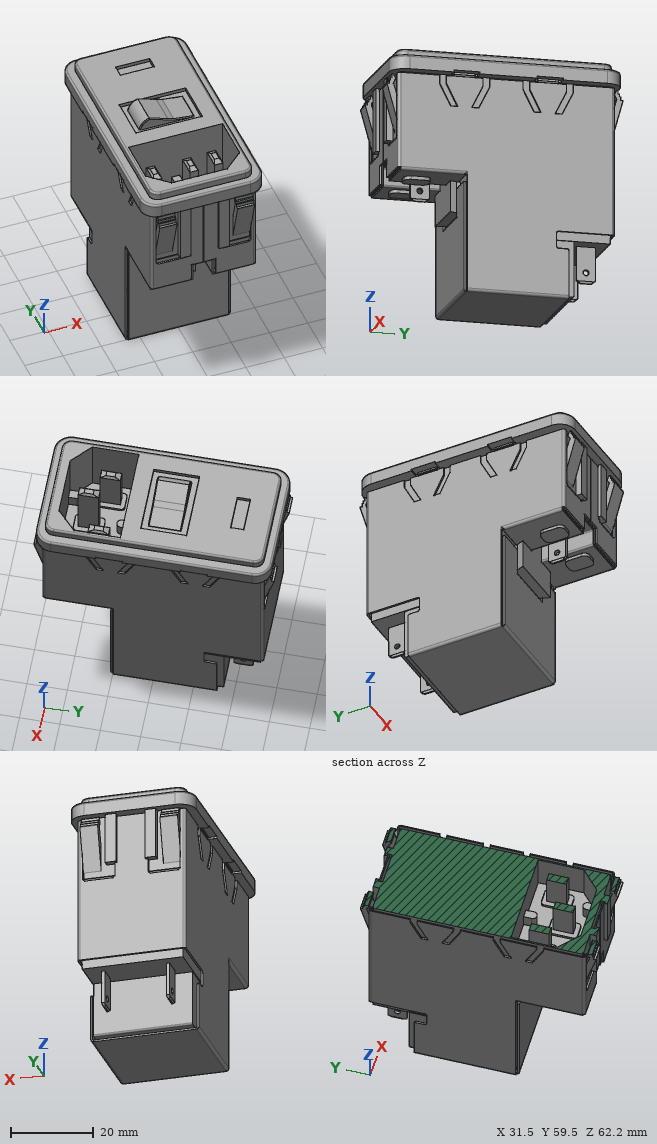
import cadquery as cq

FLANGE_X, FLANGE_Y, FLANGE_HEIGHT = 31.5, 58.25, 3.6
FLANGE_RADIUS = 4.2
PLATE_X, PLATE_Y, PLATE_TOP = 26.65, 54.15, 5.65
PLATE_RADIUS = 2.3
RIM_FILLET = 0.5

SHEET = 0.465
BEND_INNER = 0.25
BEND_OUTER = BEND_INNER + SHEET
SHELL_HALF_X = 13.75
SHELL_REAR_Y = 27.4
SHELL_FRONT_Y = -SHELL_REAR_Y
SHELL_TOP = -0.45
SHELF_Z = -25.0
LOWER_FRONT_Y = -10.6
SHELL_BOTTOM = -54.5
FRONT_SEAM = 0.25
LOWER_PLATE_TOP = -26.7
LOWER_PLATE_HALF_X = SHELL_HALF_X - BEND_OUTER
REAR_EDGE_Z = -37.7
RELIEF_Y, RELIEF_Z, RELIEF_RADIUS = 12.65, -42.0, 0.55
BASE_REAR_Y = 15.8

CHANNEL_HALF_X, CHANNEL_TOP = 2.5, -20.35
CHANNEL_MOUTH_RADIUS = 0.45
NOTCH_HALF_X, NOTCH_TOP = 3.25, -19.6

TONGUE_Y = 10.5
TONGUE_SLOT_WIDTH = 1.75
TONGUE_TOP_HALF, TONGUE_BOTTOM_HALF = 4.6, 1.8
TONGUE_KNEE_Z, TONGUE_BOTTOM_Z = -2.5, -8.0
TAB_WIDTH, TAB_POCKET_WIDTH, TAB_TOP = 5.2, 6.6, 0.5
TAB_NECK_INSET = 0.1

CORE_GAP = 0.5
CORE_HALF_X = SHELL_HALF_X - SHEET - CORE_GAP
CORE_REAR_Y = SHELL_REAR_Y - SHEET - CORE_GAP
CORE_FRONT_Y = -CORE_REAR_Y
CORE_SHELF_Z = SHELF_Z + SHEET + CORE_GAP
CORE_LOWER_FRONT_Y = LOWER_FRONT_Y + SHEET + CORE_GAP
CORE_STEP_Z = -39.8
STEM_HALF_X, STEM_REAR_Y = 12.6, 17.35
STEM_BOTTOM = -53.85
STEM_FILLET = 0.45

BLOCK_HALF_X, BLOCK_FRONT_Y, BLOCK_BOTTOM = 7.1, -12.4, -32.85
WINDOW_HALF_X, WINDOW_BOTTOM = 6.4, -34.05

CLIP_INNER_X, CLIP_OUTER_X = 7.9, 12.4
RIB_INNER_X, RIB_OUTER_X = 3.7, 6.4
CLIP_HOLE_INNER_X = 4.25
CLIP_HOLE_CHAMFER = 0.55
RIB_REACH = 0.9
CLIP_PAD = 0.25
FRONT_RIB_BOTTOM, REAR_RIB_BOTTOM = -15.9, -12.8
CLIP_PAD_BOTTOM = FRONT_RIB_BOTTOM
CLIP_HOLE_BOTTOM = -16.75
CLIP_ROOT_Z, CLIP_BACK_ROOT_Z = -15.1, -8.7
CLIP_TEETH = [
    (-29.75, -3.3), (-29.75, -3.1), (-29.2, -3.05), (-29.2, -2.25),
    (-28.9, -2.2), (-28.9, -1.55), (-28.5, -1.5), (-28.5, -0.6),
]
CLIP_BACK = [(-28.2, -0.6), (-27.6, -1.8), (-28.2, -2.9)]

BLADE_WIDTH, BLADE_THICKNESS = 4.8, 0.8
BLADE_CORNER, BLADE_BEVEL = 0.8, 0.55
BLADE_TIP_FLAT, BLADE_TIP_WIDTH = 0.3, 2.8
BLADE_HOLE = 1.45
EARTH_BLADE_Y, EARTH_BLADE_BOTTOM, EARTH_HOLE_Z = -18.25, -28.9, -26.3
REAR_BLADE_X, REAR_BLADE_Y = 8.2, 21.5
REAR_BLADE_BOTTOM, REAR_HOLE_Z = -49.0, -46.25
BOSS_X, BOSS_Y = 6.4, -20.8
BOSS_SIZE_X, BOSS_SIZE_Y, BOSS_RADIUS, BOSS_BOTTOM = 4.55, 6.6, 1.5, -25.9

SOCKET_HALF_X, SOCKET_REAR_Y, SOCKET_FRONT_Y = 12.25, -8.35, -24.45
SOCKET_CORNER_X, SOCKET_CORNER_Y = 7.3, -19.85
SOCKET_DEPTH = 16.2
KEY_WIDTH, KEY_LENGTH, KEY_X, KEY_HEIGHT = 2.1, 3.1, 6.2, 3.1
PIN_SPACING, LINE_PIN_Y, EARTH_PIN_Y = 7.95, -14.45, -18.35
PIN_X, PIN_Y, PIN_BEVEL = 2.2, 5.05, 0.6
LINE_PIN_TOP, EARTH_PIN_TOP = 1.55, 4.85
PIN_FLAT_X, PIN_FLAT_Y = 1.25, 2.25
PIN_PAD_X, PIN_PAD_Y, PIN_PAD_RADIUS, PIN_PAD_HEIGHT = 4.65, 7.4, 0.9, 0.6

INDICATOR_X, INDICATOR_Y, INDICATOR_CENTRE_Y, INDICATOR_DEPTH = 8.9, 3.25, 19.1, 0.95
SWITCH_X, SWITCH_Y, SWITCH_CENTRE_Y, SWITCH_DEPTH = 17.35, 11.3, 1.7, 0.95
ROCKER_LEFT, ROCKER_WIDTH = -7.15, 8.2
ROCKER_NOSE, ROCKER_PEAK = (-6.15, 6.7), (-4.55, 7.7)
ROCKER_MIDDLE_LEFT, ROCKER_MIDDLE_RIGHT, ROCKER_END = (0.3, 6.1), (1.85, 5.55), (7.15, 4.9)
ROCKER_EDGE = 0.25


def block(x0, x1, y0, y1, z0, z1):
    """Axis-aligned box between two corners."""
    return cq.Workplane("XY").box(x1 - x0, y1 - y0, z1 - z0, centered=False).translate((x0, y0, z0))


def rounded_block(size_x, size_y, radius, z0, z1, x=0, y=0):
    """Upright block with rounded vertical edges, centred on (x, y)."""
    body = block(x - size_x / 2, x + size_x / 2, y - size_y / 2, y + size_y / 2, z0, z1)
    return body.edges("|Z").fillet(radius)


def along_x(points, x0, x1):
    """Outline of (y, z) points extruded from x0 to x1."""
    return cq.Workplane("YZ").polyline(points).close().extrude(x1 - x0).translate((x0, 0, 0))


def both_sides(body):
    """The body and its mirror image across the X = 0 plane."""
    return body.union(body.mirror("YZ"))


def clip_hole(wall_y):
    """Opening for one clip and rib through the front or rear shell wall, at negative X."""
    opening = block(
        -CLIP_OUTER_X, -CLIP_HOLE_INNER_X, wall_y - BEND_OUTER, wall_y + BEND_OUTER,
        CLIP_HOLE_BOTTOM, SHELL_TOP,
    )
    return opening.edges("|Y and <Z").chamfer(CLIP_HOLE_CHAMFER)


def boss(x):
    """Rounded terminal boss reaching down through the shelf."""
    return rounded_block(BOSS_SIZE_X, BOSS_SIZE_Y, BOSS_RADIUS, BOSS_BOTTOM, CORE_SHELF_Z, x, BOSS_Y)


def blade(x, y, top, bottom, hole_z):
    """Flat terminal blade with clipped corners, a bevelled tip and a cross hole."""
    half_width, half_thickness = BLADE_WIDTH / 2, BLADE_THICKNESS / 2
    flat = along_x(
        [
            (-half_width, top), (half_width, top), (half_width, bottom + BLADE_CORNER),
            (BLADE_TIP_WIDTH / 2, bottom), (-BLADE_TIP_WIDTH / 2, bottom),
            (-half_width, bottom + BLADE_CORNER),
        ],
        -half_thickness, half_thickness,
    )
    bevel = (
        cq.Workplane("XZ")
        .polyline([
            (-half_thickness, top), (half_thickness, top), (half_thickness, bottom + BLADE_BEVEL),
            (BLADE_TIP_FLAT / 2, bottom), (-BLADE_TIP_FLAT / 2, bottom),
            (-half_thickness, bottom + BLADE_BEVEL),
        ])
        .close()
        .extrude(half_width, both=True)
    )
    hole = cq.Workplane("YZ").center(0, hole_z).circle(BLADE_HOLE / 2).extrude(BLADE_THICKNESS, both=True)
    return flat.intersect(bevel).cut(hole).translate((x, y, 0))


def shell_solid(inset, radius):
    """Stepped envelope of the shell, moved inwards by the inset, with its bends rounded."""
    half_x = SHELL_HALF_X - inset
    rear_y = SHELL_REAR_Y - inset
    upper = block(-half_x, half_x, SHELL_FRONT_Y + inset, rear_y, SHELF_Z + inset, SHELL_TOP)
    upper = upper.edges("|Z or <Z").fillet(radius)
    lower = block(-half_x, half_x, LOWER_FRONT_Y + inset, rear_y, SHELL_BOTTOM + inset, SHELL_TOP)
    lower = lower.edges("|Z or <Z").fillet(radius)
    return upper.union(lower)


def shell_channel():
    """Sheet channel folded up from the shelf around the earth blade."""
    front_y = SHELL_FRONT_Y + BEND_OUTER
    end_y = LOWER_FRONT_Y + SHEET
    half_x = CHANNEL_HALF_X + SHEET
    channel = block(-half_x, half_x, front_y, end_y, SHELF_Z, CHANNEL_TOP + SHEET)
    return channel.edges("|Y and >Z").fillet(BEND_OUTER)


def channel_space(front_y):
    """Space inside the channel, from front_y back to the lower front plate."""
    space = block(-CHANNEL_HALF_X, CHANNEL_HALF_X, front_y, LOWER_FRONT_Y, SHELF_Z, CHANNEL_TOP)
    return space.edges("|Y and >Z").fillet(BEND_INNER)


def tongue_slot(side):
    """Slanted slot along one edge of a spring tongue; side is +1 or -1."""
    outline = [
        (TONGUE_TOP_HALF, SHELL_TOP),
        (TONGUE_TOP_HALF, TONGUE_KNEE_Z),
        (TONGUE_BOTTOM_HALF, TONGUE_BOTTOM_Z),
        (TONGUE_BOTTOM_HALF + TONGUE_SLOT_WIDTH, TONGUE_BOTTOM_Z),
        (TONGUE_TOP_HALF + TONGUE_SLOT_WIDTH, TONGUE_KNEE_Z),
        (TONGUE_TOP_HALF + TONGUE_SLOT_WIDTH, SHELL_TOP),
    ]
    return along_x([(side * y, z) for y, z in outline], -SHELL_HALF_X, -SHELL_HALF_X + SHEET)


def tab(y):
    """Tab on top of a spring tongue, with a thinner neck below the flange, at negative X."""
    inner_x = -SHELL_HALF_X + SHEET
    y0, y1 = y - TAB_WIDTH / 2, y + TAB_WIDTH / 2
    neck = block(-SHELL_HALF_X + TAB_NECK_INSET, inner_x, y0, y1, SHELL_TOP, 0)
    return neck.union(block(-SHELL_HALF_X, inner_x, y0, y1, 0, TAB_TOP))


def make_shell():
    shell = shell_solid(0, BEND_OUTER).cut(shell_solid(SHEET, BEND_INNER))

    shell = shell.cut(block(
        -SHELL_HALF_X, SHELL_HALF_X, SHELL_FRONT_Y, SHELL_FRONT_Y + BEND_OUTER, SHELF_Z, SHELF_Z + BEND_OUTER,
    ))
    shell = shell.cut(both_sides(block(
        LOWER_PLATE_HALF_X, SHELL_HALF_X, LOWER_FRONT_Y, LOWER_FRONT_Y + BEND_OUTER, SHELL_BOTTOM, SHELF_Z,
    )))
    shell = shell.cut(block(
        -LOWER_PLATE_HALF_X, LOWER_PLATE_HALF_X,
        LOWER_FRONT_Y, LOWER_FRONT_Y + SHEET, LOWER_PLATE_TOP, SHELF_Z,
    ))

    flap_back_y = SHELL_FRONT_Y + BEND_OUTER
    shell = shell.cut(block(-FRONT_SEAM / 2, FRONT_SEAM / 2, SHELL_FRONT_Y, flap_back_y, SHELF_Z, SHELL_TOP))
    shell = shell.cut(block(-NOTCH_HALF_X, NOTCH_HALF_X, SHELL_FRONT_Y, flap_back_y, SHELF_Z, NOTCH_TOP))
    shell = shell.union(shell_channel())
    shell = shell.cut(channel_space(SHELL_FRONT_Y))
    for x in (-CHANNEL_HALF_X, CHANNEL_HALF_X):
        mouth = cq.NearestToPointSelector((x, (SHELL_FRONT_Y + BLOCK_FRONT_Y) / 2, SHELF_Z))
        shell = shell.edges("|Y").edges(mouth).fillet(CHANNEL_MOUTH_RADIUS)

    far_y, far_z = SHELL_REAR_Y + SHEET, SHELL_BOTTOM - SHEET
    opening = along_x(
        [
            (far_y, REAR_EDGE_Z), (RELIEF_Y, REAR_EDGE_Z), (RELIEF_Y, RELIEF_Z),
            (BASE_REAR_Y, RELIEF_Z), (BASE_REAR_Y, far_z), (far_y, far_z),
        ],
        -SHELL_HALF_X, SHELL_HALF_X,
    )
    for y, z in [(RELIEF_Y, REAR_EDGE_Z), (RELIEF_Y, RELIEF_Z), (BASE_REAR_Y, RELIEF_Z)]:
        opening = opening.edges(cq.NearestToPointSelector((0, y, z))).fillet(RELIEF_RADIUS)
    shell = shell.cut(opening)

    shell = shell.cut(block(
        -WINDOW_HALF_X, WINDOW_HALF_X, LOWER_FRONT_Y, LOWER_FRONT_Y + SHEET, WINDOW_BOTTOM, LOWER_PLATE_TOP,
    ))

    for wall_y in (SHELL_FRONT_Y, SHELL_REAR_Y):
        shell = shell.cut(both_sides(clip_hole(wall_y)))
    for centre_y in (-TONGUE_Y, TONGUE_Y):
        for side in (-1, 1):
            shell = shell.cut(both_sides(tongue_slot(side).translate((0, centre_y, 0))))
        shell = shell.union(both_sides(tab(centre_y)))

    for x in (-BOSS_X, BOSS_X):
        shell = shell.cut(boss(x))
    return shell.cut(earth_blade())


def make_flange():
    flange = rounded_block(FLANGE_X, FLANGE_Y, FLANGE_RADIUS, 0, FLANGE_HEIGHT)
    flange = flange.faces(">Z").edges().fillet(RIM_FILLET)
    plate = rounded_block(PLATE_X, PLATE_Y, PLATE_RADIUS, 0, PLATE_TOP)
    plate = plate.faces(">Z").edges().fillet(RIM_FILLET)
    flange = flange.union(plate)
    for y in (-TONGUE_Y, TONGUE_Y):
        pocket = block(
            -FLANGE_X / 2, -SHELL_HALF_X + SHEET,
            y - TAB_POCKET_WIDTH / 2, y + TAB_POCKET_WIDTH / 2, 0, TAB_TOP,
        )
        flange = flange.cut(both_sides(pocket))
    return flange


def make_core():
    upper = block(-CORE_HALF_X, CORE_HALF_X, CORE_FRONT_Y, CORE_REAR_Y, CORE_SHELF_Z, 0)
    middle = block(-CORE_HALF_X, CORE_HALF_X, CORE_LOWER_FRONT_Y, CORE_REAR_Y, CORE_STEP_Z, 0)
    stem = block(-STEM_HALF_X, STEM_HALF_X, CORE_LOWER_FRONT_Y, STEM_REAR_Y, STEM_BOTTOM, CORE_STEP_Z)
    stem = stem.edges("|X and <Z and >Y").fillet(STEM_FILLET)
    channel_half_x = CHANNEL_HALF_X + SHEET + CORE_GAP
    channel = block(
        -channel_half_x, channel_half_x, CORE_FRONT_Y, CORE_LOWER_FRONT_Y,
        CORE_SHELF_Z, CHANNEL_TOP + SHEET + CORE_GAP,
    )
    return upper.union(middle).union(stem).cut(channel)


def make_block():
    """Dovetail block proud of the lower front plate, rooted in the core and filling the channel end."""
    dovetail = [
        (-WINDOW_HALF_X, CORE_LOWER_FRONT_Y), (-WINDOW_HALF_X, LOWER_FRONT_Y), (-BLOCK_HALF_X, BLOCK_FRONT_Y),
        (BLOCK_HALF_X, BLOCK_FRONT_Y), (WINDOW_HALF_X, LOWER_FRONT_Y), (WINDOW_HALF_X, CORE_LOWER_FRONT_Y),
    ]
    body = cq.Workplane("XY").workplane(offset=BLOCK_BOTTOM).polyline(dovetail).close()
    body = body.extrude(SHELF_Z - BLOCK_BOTTOM)
    return body.union(channel_space(BLOCK_FRONT_Y))


def clip_and_rib(rib_bottom):
    """Snap clip, its pad and the guide rib for the front wall at negative X."""
    clip = along_x(
        [
            (CORE_FRONT_Y, CLIP_ROOT_Z),
            *CLIP_TEETH,
            *CLIP_BACK,
            (CORE_FRONT_Y, CLIP_BACK_ROOT_Z),
        ],
        -CLIP_OUTER_X, -CLIP_INNER_X,
    )
    pad = block(
        -CLIP_OUTER_X, -CLIP_HOLE_INNER_X, CORE_FRONT_Y - CLIP_PAD, CORE_FRONT_Y, CLIP_PAD_BOTTOM, 0,
    )
    rib_front_y = SHELL_FRONT_Y - RIB_REACH
    rib = block(-RIB_OUTER_X, -RIB_INNER_X, rib_front_y, SHELL_FRONT_Y, rib_bottom, 0)
    rib_root = block(-RIB_OUTER_X, -CLIP_HOLE_INNER_X, SHELL_FRONT_Y, CORE_FRONT_Y, rib_bottom, 0)
    return clip.union(pad).union(rib).union(rib_root)


def earth_blade():
    return blade(0, EARTH_BLADE_Y, CHANNEL_TOP + SHEET + CORE_GAP, EARTH_BLADE_BOTTOM, EARTH_HOLE_Z)


def socket_cut():
    outline = [
        (-SOCKET_HALF_X, SOCKET_REAR_Y), (SOCKET_HALF_X, SOCKET_REAR_Y),
        (SOCKET_HALF_X, SOCKET_CORNER_Y), (SOCKET_CORNER_X, SOCKET_FRONT_Y),
        (-SOCKET_CORNER_X, SOCKET_FRONT_Y), (-SOCKET_HALF_X, SOCKET_CORNER_Y),
    ]
    return cq.Workplane("XY").workplane(offset=PLATE_TOP).polyline(outline).close().extrude(-SOCKET_DEPTH)


def key(x, wall_y, inwards):
    """Round-nosed rib on a socket wall; inwards is the Y direction it points in."""
    floor = PLATE_TOP - SOCKET_DEPTH
    nose_y = wall_y + inwards * (KEY_LENGTH - KEY_WIDTH / 2)
    bar = block(
        x - KEY_WIDTH / 2, x + KEY_WIDTH / 2,
        min(wall_y, nose_y), max(wall_y, nose_y), floor, floor + KEY_HEIGHT,
    )
    nose = cq.Workplane("XY").workplane(offset=floor).center(x, nose_y).circle(KEY_WIDTH / 2)
    nose = nose.extrude(KEY_HEIGHT)
    return bar.union(nose)


def pin(x, y, top):
    """Contact pin with a tapered tip, on a rounded pad."""
    floor = PLATE_TOP - SOCKET_DEPTH
    pad = rounded_block(PIN_PAD_X, PIN_PAD_Y, PIN_PAD_RADIUS, floor, floor + PIN_PAD_HEIGHT, x, y)
    shank = cq.Workplane("XY").workplane(offset=floor).center(x, y).rect(PIN_X, PIN_Y)
    shank = shank.extrude(top - PIN_BEVEL - floor)
    tip = (
        cq.Workplane("XY").workplane(offset=top - PIN_BEVEL).center(x, y).rect(PIN_X, PIN_Y)
        .workplane(offset=PIN_BEVEL).rect(PIN_FLAT_X, PIN_FLAT_Y).loft()
    )
    return pad.union(shank).union(tip)


def make_rocker():
    """Tilted rocker with a round nose and softened side edges, standing on the recess floor."""
    floor = PLATE_TOP - SWITCH_DEPTH
    rocker = (
        cq.Workplane("XZ")
        .moveTo(ROCKER_LEFT, floor)
        .threePointArc(ROCKER_NOSE, ROCKER_PEAK)
        .lineTo(*ROCKER_MIDDLE_LEFT)
        .lineTo(*ROCKER_MIDDLE_RIGHT)
        .lineTo(*ROCKER_END)
        .lineTo(ROCKER_END[0], floor)
        .close()
        .extrude(ROCKER_WIDTH / 2, both=True)
    )
    rocker = rocker.faces("<Y or >Y").edges("not <Z").edges("not >X").chamfer(ROCKER_EDGE)
    return rocker.translate((0, SWITCH_CENTRE_Y, 0))


def make_housing():
    housing = make_flange().union(make_core()).union(make_block())
    for x in (-BOSS_X, BOSS_X):
        housing = housing.union(boss(x))
    for x in (-REAR_BLADE_X, REAR_BLADE_X):
        housing = housing.union(blade(x, REAR_BLADE_Y, CORE_STEP_Z, REAR_BLADE_BOTTOM, REAR_HOLE_Z))
    housing = housing.union(earth_blade())
    housing = housing.union(both_sides(clip_and_rib(FRONT_RIB_BOTTOM)))
    rear_clip = clip_and_rib(REAR_RIB_BOTTOM).mirror("XZ")
    housing = housing.union(both_sides(rear_clip))

    housing = housing.cut(socket_cut())
    housing = housing.union(key(0, SOCKET_REAR_Y, -1))
    for x in (-KEY_X, KEY_X):
        housing = housing.union(key(x, SOCKET_FRONT_Y, 1))
    for x in (-PIN_SPACING, PIN_SPACING):
        housing = housing.union(pin(x, LINE_PIN_Y, LINE_PIN_TOP))
    housing = housing.union(pin(0, EARTH_PIN_Y, EARTH_PIN_TOP))

    for size_x, size_y, y, depth in [
        (INDICATOR_X, INDICATOR_Y, INDICATOR_CENTRE_Y, INDICATOR_DEPTH),
        (SWITCH_X, SWITCH_Y, SWITCH_CENTRE_Y, SWITCH_DEPTH),
    ]:
        housing = housing.cut(block(
            -size_x / 2, size_x / 2, y - size_y / 2, y + size_y / 2, PLATE_TOP - depth, PLATE_TOP,
        ))
    return housing.union(make_rocker())


shell = make_shell()
housing = make_housing()
result = cq.Compound.makeCompound([housing.val(), shell.val()])